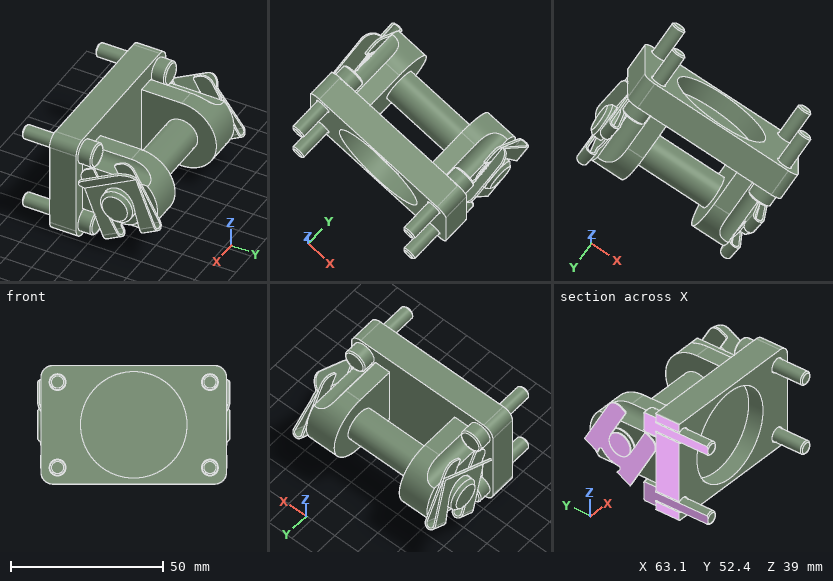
import cadquery as cq
import math


plate_width = 61.0
plate_height = 39.0
plate_thickness = 10.0
plate_corner_radius = 4.0
recess_diameter = 35.0
recess_depth = 6.0
lug_gap = 28.05
lug_thickness = 12.0
lug_radius = 13.0
lug_outer_x = lug_gap / 2 + lug_thickness
pin_y = 25.0

screw_spacing_x = 50.0
screw_spacing_z = 28.05
screw_diameter = 5.0
screw_hole_diameter = 5.5
screw_head_diameter = 8.5
screw_head_height = 5.0
screw_projection = 12.1
screw_chamfer = 0.5
screw_clearance_diameter = 9.8

pin_length = 63.15
pin_diameter = 12.0
pin_chamfer = 1.25
groove_diameter = 9.0

clip_tilt = 29.0
sheet = 0.7
clip_width = 22.0
clip_clearance = 0.45
clip_inner_x = lug_outer_x + clip_clearance
fork_top = 13.75
fork_corner_radius = 3.55
fork_mouth_radius = 0.6
bend_radius = 2.1
bend_bottom = -11.7
fold_height = 7.75
fold_gap = 0.05
flange_length = 6.0
flange_angle = 39.0
flange_corner_radius = 4.0
leaf_hole_diameter = 12.25
throat_bottom_width = 8.95
throat_angle = 8.3
tongue_radius = 8.9
tongue_fillet = 0.75

screw_positions = [
    (sx * screw_spacing_x / 2, sz * screw_spacing_z / 2) for sx in (-1, 1) for sz in (-1, 1)
]


def rod_y(x, z, diameter, y_start, y_end):
    """Cylinder along Y."""
    return cq.Workplane(cq.Solid.makeCylinder(
        diameter / 2, y_end - y_start, cq.Vector(x, y_start, z), cq.Vector(0, 1, 0)))


def rod_x(y, z, diameter, x_start, x_end):
    """Cylinder along X."""
    return cq.Workplane(cq.Solid.makeCylinder(
        diameter / 2, x_end - x_start, cq.Vector(x_start, y, z), cq.Vector(1, 0, 0)))


def make_lug(x_start):
    """Round-ended lug, relieved along Y around the screw heads."""
    length = pin_y - plate_thickness
    lug = (
        cq.Workplane("XY")
        .box(lug_thickness, length, 2 * lug_radius, centered=(False, False, True))
        .translate((x_start, plate_thickness, 0))
    )
    lug = lug.union(rod_x(pin_y, 0, 2 * lug_radius, x_start, x_start + lug_thickness))
    for x, z in screw_positions:
        lug = lug.cut(rod_y(x, z, screw_clearance_diameter, plate_thickness, pin_y + lug_radius))
    return lug


def make_bracket():
    bracket = (
        cq.Workplane("XY")
        .box(plate_width, plate_thickness, plate_height, centered=(True, False, True))
        .edges("|Y")
        .fillet(plate_corner_radius)
    )
    bracket = bracket.cut(rod_y(0, 0, recess_diameter, 0, recess_depth))
    for x_start in (-lug_outer_x, lug_gap / 2):
        bracket = bracket.union(make_lug(x_start))
    for x, z in screw_positions:
        bracket = bracket.cut(rod_y(x, z, screw_hole_diameter, 0, plate_thickness))
    return bracket.cut(rod_x(pin_y, 0, pin_diameter, -lug_outer_x, lug_outer_x))


def make_screw(x, z):
    shank = rod_y(x, z, screw_diameter, -screw_projection, plate_thickness)
    shank = shank.faces("<Y").chamfer(screw_chamfer)
    head = rod_y(x, z, screw_head_diameter, plate_thickness, plate_thickness + screw_head_height)
    head = head.faces(">Y").chamfer(screw_chamfer)
    return shank.union(head)


def make_pin():
    """Rod with a groove near each end that takes the fork of a clip."""
    pin = rod_x(pin_y, 0, pin_diameter, -pin_length / 2, pin_length / 2)
    pin = pin.faces("<X or >X").chamfer(pin_chamfer)
    for x_start in (-clip_inner_x - sheet, clip_inner_x):
        ring = rod_x(pin_y, 0, pin_diameter, x_start, x_start + sheet)
        core = rod_x(pin_y, 0, groove_diameter, x_start, x_start + sheet)
        pin = pin.cut(ring.cut(core))
    return pin


def make_folded_sheet():
    """Full-width bent sheet, upright, with the pin axis through the origin.

    The vectors lie in the profile plane: x runs along the pin and y is the height.
    """
    fork_outer_x = clip_inner_x + sheet
    bend = cq.Vector(clip_inner_x + bend_radius, bend_bottom + bend_radius, 0)
    inner_radius = bend_radius - sheet

    fold = cq.Vector(fork_outer_x + fold_gap, fold_height, 0)
    to_fold = fold - bend
    lean = math.atan2(to_fold.y, to_fold.x) - math.acos(inner_radius / to_fold.Length)
    flare = math.radians(flange_angle)
    leaf_normal = cq.Vector(math.cos(lean), math.sin(lean), 0)
    flange_normal = cq.Vector(math.cos(flare), -math.sin(flare), 0)
    flange_direction = cq.Vector(math.sin(flare), math.cos(flare), 0)

    mitre = (leaf_normal + flange_normal) * (sheet / (1 + leaf_normal.dot(flange_normal)))
    flange_end = fold + flange_direction * flange_length
    middle_angle = (lean - math.pi) / 2
    bend_middle = cq.Vector(math.cos(middle_angle), math.sin(middle_angle), 0)
    outer_middle = bend + bend_middle * bend_radius
    outer_tangent = bend + leaf_normal * bend_radius
    inner_middle = bend + bend_middle * inner_radius
    inner_tangent = bend + leaf_normal * inner_radius

    def point(vector):
        return (vector.x, vector.y)

    profile = (
        cq.Workplane("XZ")
        .moveTo(clip_inner_x, fork_top)
        .lineTo(clip_inner_x, bend.y)
        .threePointArc(point(outer_middle), point(outer_tangent))
        .lineTo(*point(fold + mitre))
        .lineTo(*point(flange_end + flange_normal * sheet))
        .lineTo(*point(flange_end))
        .lineTo(*point(fold))
        .lineTo(*point(inner_tangent))
        .threePointArc(point(inner_middle), (fork_outer_x, bend.y))
        .lineTo(fork_outer_x, fork_top)
        .close()
    )
    body = profile.extrude(clip_width / 2, both=True)
    body = body.edges("|X").edges(">Z").fillet(fork_corner_radius)
    flange_ends = cq.selectors.ParallelDirSelector(
        cq.Vector(flange_normal.x, 0, flange_normal.y))
    return body.edges(flange_ends).fillet(flange_corner_radius)


def cut_fork_slot(clip):
    """Slot, open at the top, that slides into the groove of the pin."""
    x_end = clip_inner_x + sheet
    slot = (
        cq.Workplane("XY")
        .box(sheet, groove_diameter, fork_top, centered=(False, True, False))
        .translate((clip_inner_x, 0, 0))
        .union(rod_x(0, 0, groove_diameter, clip_inner_x, x_end))
    )
    mouth_reach = groove_diameter / 2 + sheet
    mouth = cq.selectors.BoxSelector(
        (clip_inner_x, -mouth_reach, fork_top - sheet),
        (x_end, mouth_reach, fork_top + sheet))
    return clip.cut(slot).edges("|X").edges(mouth).fillet(fork_mouth_radius)


def make_throat(x_start, x_end, top):
    """Tapered opening between the two arms, from the bend up to the given height."""
    bottom_half = throat_bottom_width / 2
    top_half = bottom_half + (top - bend_bottom) * math.tan(math.radians(throat_angle))
    outline = [
        (-bottom_half, bend_bottom),
        (bottom_half, bend_bottom),
        (top_half, top),
        (-top_half, top),
    ]
    return (
        cq.Workplane("YZ", origin=(x_start, 0, 0))
        .polyline(outline)
        .close()
        .extrude(x_end - x_start)
    )


def cut_throat(clip):
    """Parts the bend and the leaf into two arms and rounds off the tongue of the fork."""
    fork_outer_x = clip_inner_x + sheet
    leaf_hole = rod_x(0, 0, leaf_hole_diameter, fork_outer_x, pin_length / 2)
    tangent_height = -leaf_hole_diameter / 2 * math.sin(math.radians(throat_angle))
    leaf_throat = make_throat(fork_outer_x, pin_length / 2, tangent_height)

    tongue = rod_x(0, 0, 2 * tongue_radius, clip_inner_x, fork_outer_x)
    fork_throat = make_throat(clip_inner_x, fork_outer_x, -groove_diameter / 2).cut(tongue)
    fork_throat = fork_throat.edges("|X").edges(">Z").fillet(tongue_fillet)
    return clip.cut(leaf_hole).cut(leaf_throat).cut(fork_throat)


def make_clip():
    """Clip at the +X end of the pin."""
    clip = cut_throat(cut_fork_slot(make_folded_sheet()))
    return clip.rotate((0, 0, 0), (1, 0, 0), clip_tilt).translate((0, pin_y, 0))


bracket = make_bracket()
pin = make_pin()
screws = [make_screw(x, z) for x, z in screw_positions]
clip = make_clip()
clips = [clip, clip.mirror("YZ")]

result = cq.Compound.makeCompound([
    *bracket.solids().vals(),
    *pin.solids().vals(),
    *[screw.solids().val() for screw in screws],
    *[side_clip.solids().val() for side_clip in clips],
])